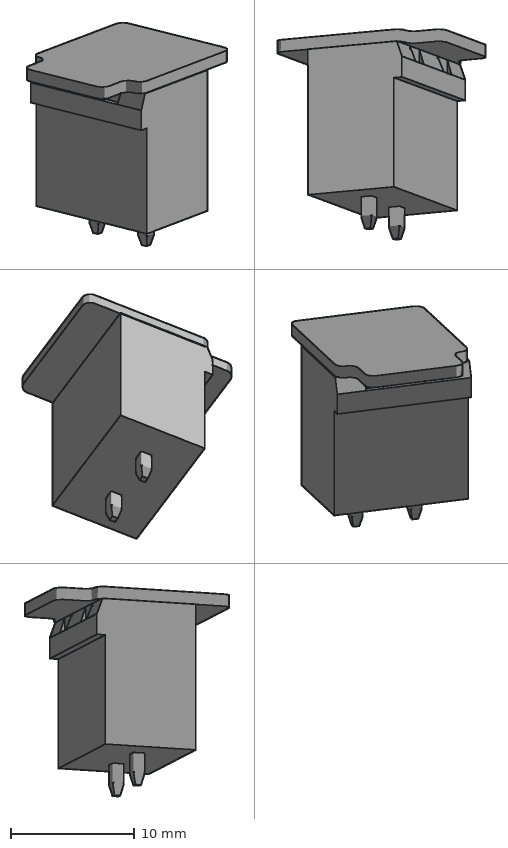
import cadquery as cq


PIN_PITCH = 5.08
PIN_COUNT = 2
PIN_WIDTH = 1.0
PIN_LENGTH = 2.58
PIN_EDGE_RADIUS = 0.1
TIP_LENGTH = 1.0
TIP_WIDTH = 0.5

HOUSING_WIDTH = 11.56
HOUSING_HEIGHT = 12.0
HOUSING_BACK_Y = 3.9
HOUSING_FRONT_Y = -3.87

LIP_OVERHANG = 0.73
LIP_HEIGHT = 3.0
LIP_BEVEL_DEPTH = 0.48
LIP_BEVEL_HEIGHT = 1.3
LIP_FRONT_Y = HOUSING_FRONT_Y - LIP_OVERHANG
BEVEL_TOP_Y = LIP_FRONT_Y + LIP_BEVEL_DEPTH
BEVEL_BOTTOM_Z = HOUSING_HEIGHT - LIP_BEVEL_HEIGHT

NOTCH_FRONT_WIDTH = 1.44
NOTCH_BACK_WIDTH = 1.8

CAP_WIDTH = 11.4
CAP_LENGTH = 14.5
CAP_THICKNESS = 1.0
CAP_BACK_Y = 7.0
CAP_CORNER_RADIUS = 0.75
ARC_CLEARANCE = 0.001
TAB_LENGTH = 3.0
TAB_WIDTH = CAP_WIDTH - 4 * CAP_CORNER_RADIUS
CAP_FRONT_Y = CAP_BACK_Y - CAP_LENGTH
TAB_ROOT_Y = CAP_FRONT_Y + TAB_LENGTH

PIN_POSITIONS = [(i - (PIN_COUNT - 1) / 2) * PIN_PITCH for i in range(PIN_COUNT)]


def make_notch_cutter(x):
    """Dovetail prism, widest at its back wall, standing on the foot of the bevel."""
    return (
        cq.Workplane("XY", origin=(x, 0, BEVEL_BOTTOM_Z))
        .moveTo(-NOTCH_FRONT_WIDTH / 2, LIP_FRONT_Y)
        .lineTo(NOTCH_FRONT_WIDTH / 2, LIP_FRONT_Y)
        .lineTo(NOTCH_BACK_WIDTH / 2, BEVEL_TOP_Y)
        .lineTo(-NOTCH_BACK_WIDTH / 2, BEVEL_TOP_Y)
        .close()
        .extrude(LIP_BEVEL_HEIGHT)
    )


def make_housing():
    """Block with a bevelled front lip, drawn as a side profile and extruded along X."""
    housing = (
        cq.Workplane("YZ")
        .moveTo(HOUSING_BACK_Y, 0)
        .lineTo(HOUSING_BACK_Y, HOUSING_HEIGHT)
        .lineTo(BEVEL_TOP_Y, HOUSING_HEIGHT)
        .lineTo(LIP_FRONT_Y, BEVEL_BOTTOM_Z)
        .lineTo(LIP_FRONT_Y, HOUSING_HEIGHT - LIP_HEIGHT)
        .lineTo(HOUSING_FRONT_Y, HOUSING_HEIGHT - LIP_HEIGHT)
        .lineTo(HOUSING_FRONT_Y, 0)
        .close()
        .extrude(HOUSING_WIDTH / 2, both=True)
    )
    for x in PIN_POSITIONS:
        housing = housing.cut(make_notch_cutter(x))
    return housing


def make_cap():
    """Flat plate resting on the housing, every upright corner rounded."""
    return (
        cq.Workplane("XY", origin=(0, 0, HOUSING_HEIGHT))
        .moveTo(-CAP_WIDTH / 2, CAP_BACK_Y)
        .lineTo(CAP_WIDTH / 2, CAP_BACK_Y)
        .lineTo(CAP_WIDTH / 2, TAB_ROOT_Y)
        .lineTo(TAB_WIDTH / 2, TAB_ROOT_Y)
        .lineTo(TAB_WIDTH / 2, CAP_FRONT_Y)
        .lineTo(-TAB_WIDTH / 2, CAP_FRONT_Y)
        .lineTo(-TAB_WIDTH / 2, TAB_ROOT_Y)
        .lineTo(-CAP_WIDTH / 2, TAB_ROOT_Y)
        .close()
        .extrude(CAP_THICKNESS)
        .edges("|Z")
        .fillet(CAP_CORNER_RADIUS - ARC_CLEARANCE)
    )


def make_pin(x):
    """Square pin below the housing, its long edges rounded before the tip tapers in."""
    shank_length = PIN_LENGTH - TIP_LENGTH
    bar = (
        cq.Workplane("XY", origin=(x, 0, 0))
        .rect(PIN_WIDTH, PIN_WIDTH)
        .extrude(-PIN_LENGTH)
        .edges("|Z")
        .fillet(PIN_EDGE_RADIUS)
    )
    tapered_envelope = (
        cq.Workplane("XY", origin=(x, 0, 0))
        .rect(PIN_WIDTH, PIN_WIDTH)
        .workplane(offset=-shank_length)
        .rect(PIN_WIDTH, PIN_WIDTH)
        .workplane(offset=-TIP_LENGTH)
        .rect(TIP_WIDTH, TIP_WIDTH)
        .loft(ruled=True)
    )
    return bar.intersect(tapered_envelope)


housing = make_housing()
cap = make_cap()
pins = [make_pin(x) for x in PIN_POSITIONS]

result = cq.Compound.makeCompound([housing.val(), cap.val(), *[pin.val() for pin in pins]])